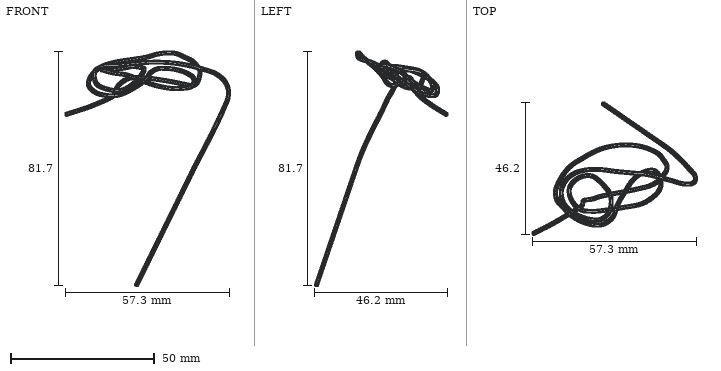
import cadquery as cq


CORD_RADIUS = 0.5


SHORT_END = [
    (-28.4, -22.6, 18.9),
    (-19.95, -18.15, 21.7),
    (-16.6, -16.1, 23.05),
    (-13.8, -14.5, 24.3),
    (-11.2, -12.4, 26.2),
]

MIDDLE_RUN = [
    (-11.0, -11.45, 27.5),
    (-7.6, -10.5, 31.0),
    (-5.15, -9.65, 31.7),
    (-1.8, -8.9, 31.6),
    (7.1, -7.2, 30.5),
    (13.3, -5.4, 29.3),
    (15.45, -4.0, 28.85),
    (17.0, -2.1, 29.7),
]

OUTER_LOOP = [
    (18.1, -0.4, 32.3),
    (18.15, 1.2, 34.2),
    (17.0, 3.1, 35.9),
    (15.45, 5.1, 37.5),
    (13.0, 6.45, 38.75),
    (9.9, 7.6, 40.05),
    (3.4, 8.3, 39.9),
    (-0.25, 8.0, 38.8),
    (-4.25, 7.1, 38.2),
    (-11.4, 3.6, 37.0),
    (-15.0, 1.2, 36.0),
    (-19.05, -3.85, 33.1),
    (-20.6, -9.1, 29.2),
    (-19.95, -11.2, 27.95),
    (-18.1, -13.25, 26.5),
    (-15.9, -15.5, 25.75),
    (-10.05, -18.9, 25.7),
    (-4.25, -19.4, 28.45),
]

SIDE_LOOP = [
    (-0.25, -16.1, 31.55),
    (0.65, -13.3, 33.0),
    (4.1, -7.2, 34.9),
    (5.9, -4.4, 34.9),
    (9.9, -1.2, 34.5),
    (13.6, -0.6, 33.3),
    (16.1, -4.4, 31.1),
    (15.8, -6.9, 29.2),
    (11.1, -11.4, 27.9),
    (2.9, -13.5, 28.9),
    (-2.7, -14.3, 30.9),
    (-7.6, -14.8, 32.7),
]

INNER_LOOP = [
    (-11.6, -14.3, 33.3),
    (-15.0, -10.9, 34.2),
    (-15.8, -6.9, 34.4),
    (-12.6, -3.2, 34.5),
    (-7.6, -2.6, 35.15),
    (-5.5, -4.1, 35.6),
    (-3.35, -6.3, 35.4),
    (-1.8, -8.4, 35.1),
    (-1.5, -13.65, 33.8),
    (-5.15, -17.65, 29.4),
    (-8.25, -17.65, 27.55),
    (-15.0, -14.9, 27.95),
    (-17.5, -12.4, 29.2),
    (-18.55, -9.3, 31.55),
    (-18.2, -6.3, 34.1),
    (-16.6, -3.5, 35.2),
    (-13.8, -1.5, 36.0),
]

UPPER_RUN = [
    (-10.05, -0.4, 36.05),
    (-5.15, -0.25, 36.5),
    (0.4, -0.9, 37.0),
    (5.6, -1.4, 37.0),
    (10.2, -1.8, 36.6),
    (19.45, -4.0, 34.6),
    (24.0, -5.2, 32.9),
    (26.6, -5.2, 30.7),
    (28.1, -3.85, 27.1),
    (28.0, -2.6, 25.1),
    (26.2, -0.3, 20.35),
    (22.5, 3.7, 12.4),
    (19.4, 6.45, 6.4),
    (16.1, 8.8, 0.1),
]

LONG_END_TIP = cq.Vector(-3.9, 22.65, -40.6)

WAYPOINTS = SHORT_END + MIDDLE_RUN + OUTER_LOOP + SIDE_LOOP + INNER_LOOP + UPPER_RUN


def curve_directions(points):
    """Unit direction at each point: the tangent of the circle through it and its two neighbours."""
    steps = [after - before for before, after in zip(points, points[1:])]
    inner = []
    for step, next_step in zip(steps, steps[1:]):
        ratio = next_step.Length / step.Length
        inner.append((step * ratio + next_step * (1 / ratio)).normalized())
    return [steps[0].normalized()] + inner + [steps[-1].normalized()]


def build_centreline():
    """Smooth cubic curves between waypoints, each tangent to the next, and the straight long end."""
    points = [cq.Vector(*waypoint) for waypoint in WAYPOINTS]
    directions = curve_directions(points + [LONG_END_TIP])
    directions[len(points) - 1] = (LONG_END_TIP - points[-1]).normalized()
    edges = []
    for start, end, start_direction, end_direction in zip(points, points[1:], directions, directions[1:]):
        handle = (end - start).Length / 3
        controls = [start, start + start_direction * handle, end - end_direction * handle, end]
        edges.append(cq.Edge.makeBezier(controls))
    edges.append(cq.Edge.makeLine(points[-1], LONG_END_TIP))
    return cq.Wire.assembleEdges(edges)


def build_cord(centreline):
    """Sweep the round section, square to the centreline, along its whole length."""
    section_plane = cq.Plane(origin=centreline.startPoint(), normal=centreline.tangentAt(0))
    return cq.Workplane(section_plane).circle(CORD_RADIUS).sweep(cq.Workplane(centreline))


result = build_cord(build_centreline())